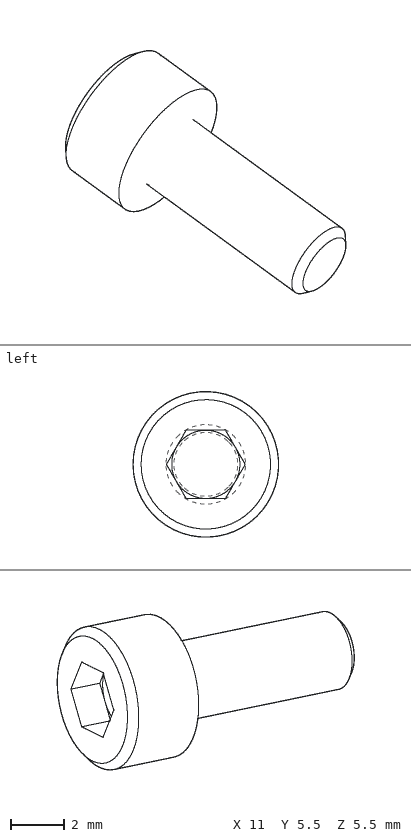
import cadquery as cq
import math

total_length = 11.0
head_diameter = total_length / 2
head_length = 3.0
shank_diameter = head_length
head_chamfer = 0.31
tip_chamfer = 0.3
neck_fillet = 0.1

socket_flats = 2.57
socket_depth = 1.3
cone_half_angle = 60.0


def make_body():
    """Chamfered head and shank joined by a small neck fillet."""
    head = cq.Workplane("YZ").circle(head_diameter / 2).extrude(head_length)
    head = head.faces("<X").chamfer(head_chamfer)
    shank = cq.Workplane("YZ").circle(shank_diameter / 2).extrude(total_length)
    shank = shank.faces(">X").chamfer(tip_chamfer)
    body = head.union(shank)
    underside = body.faces(cq.NearestToPointSelector((head_length, 0, 0)))
    neck_edge = underside.edges(cq.selectors.RadiusNthSelector(0))
    return neck_edge.fillet(neck_fillet)


def make_socket():
    """Hexagonal recess with corners on the Y axis and a conical floor."""
    corner_diameter = socket_flats / math.cos(math.radians(30))
    hexagon = cq.Workplane("YZ").polygon(6, corner_diameter).extrude(socket_depth)
    cone_radius = socket_flats / 2
    cone_depth = cone_radius / math.tan(math.radians(cone_half_angle))
    cone = cq.Solid.makeCone(
        cone_radius, 0, cone_depth, pnt=cq.Vector(socket_depth, 0, 0), dir=cq.Vector(1, 0, 0)
    )
    return hexagon.union(cq.Workplane(cone))


result = make_body().cut(make_socket())